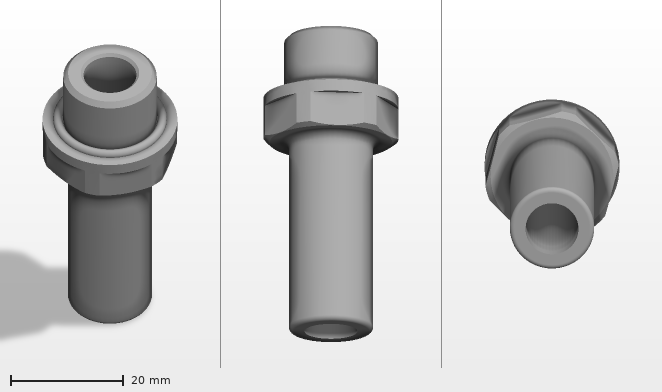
import cadquery as cq
import math

total_height = 54.4
flange_top = 43.2
flange_bottom = 41.05
hex_bottom = 35.0

stub_diameter = 15.0
spigot_diameter = 16.65
flange_diameter = 24.0
hex_across_flats = 22.0
bore_diameter = 9.4

ring_inner_diameter = 16.85
ring_outer_diameter = 20.25
ring_protrusion = 1.0

spigot_chamfer = 0.85
bore_chamfer = 0.5
stub_end_fillet = 0.8
neck_fillet = 1.3
hex_chamfer_inset = 1.1
hex_chamfer_angle = 30.0


def turned_body():
    """Revolve the stepped outer profile, before the hexagon flats are cut."""
    stub_radius = stub_diameter / 2
    spigot_radius = spigot_diameter / 2
    flange_radius = flange_diameter / 2
    hex_chamfer_height = hex_chamfer_inset * math.tan(math.radians(hex_chamfer_angle))
    arc_middle_ratio = 1 - math.sqrt(0.5)
    end_offset = stub_end_fillet * arc_middle_ratio
    fillet_offset = neck_fillet * arc_middle_ratio
    profile = (
        cq.Workplane("XZ")
        .lineTo(stub_radius - stub_end_fillet, 0)
        .threePointArc(
            (stub_radius - end_offset, end_offset),
            (stub_radius, stub_end_fillet),
        )
        .lineTo(stub_radius, hex_bottom - neck_fillet)
        .threePointArc(
            (stub_radius + fillet_offset, hex_bottom - fillet_offset),
            (stub_radius + neck_fillet, hex_bottom),
        )
        .lineTo(flange_radius - hex_chamfer_inset, hex_bottom)
        .lineTo(flange_radius, hex_bottom + hex_chamfer_height)
        .lineTo(flange_radius, flange_top)
        .lineTo(spigot_radius, flange_top)
        .lineTo(spigot_radius, total_height - spigot_chamfer)
        .lineTo(spigot_radius - spigot_chamfer, total_height)
        .lineTo(0, total_height)
        .close()
    )
    return profile.revolve(360, (0, 0), (0, 1))


def hex_flat_cutter():
    """Material to remove below the flange, leaving flats that face +X and -X."""
    height = flange_bottom - hex_bottom
    across_corners = hex_across_flats / math.cos(math.radians(30))
    blank = cq.Workplane("XY").circle(flange_diameter).extrude(height)
    hexagon = (
        cq.Workplane("XY")
        .polygon(6, across_corners)
        .extrude(height)
        .rotate((0, 0, 0), (0, 0, 1), 30)
    )
    return blank.cut(hexagon).translate((0, 0, hex_bottom))


def sealing_ring():
    """Round-section ring partly sunk into the top of the flange."""
    section_radius = (ring_outer_diameter - ring_inner_diameter) / 4
    center_radius = (ring_outer_diameter + ring_inner_diameter) / 4
    center_height = flange_top + ring_protrusion - section_radius
    return (
        cq.Workplane("XZ")
        .center(center_radius, center_height)
        .circle(section_radius)
        .revolve(360, (-center_radius, 0), (-center_radius, 1))
    )


def bore_cutter():
    """Through bore with a chamfered mouth at the spigot end."""
    radius = bore_diameter / 2
    profile = (
        cq.Workplane("XZ")
        .lineTo(radius, 0)
        .lineTo(radius, total_height - bore_chamfer)
        .lineTo(radius + bore_chamfer, total_height)
        .lineTo(0, total_height)
        .close()
    )
    return profile.revolve(360, (0, 0), (0, 1))


result = turned_body().cut(hex_flat_cutter()).union(sealing_ring()).cut(bore_cutter())